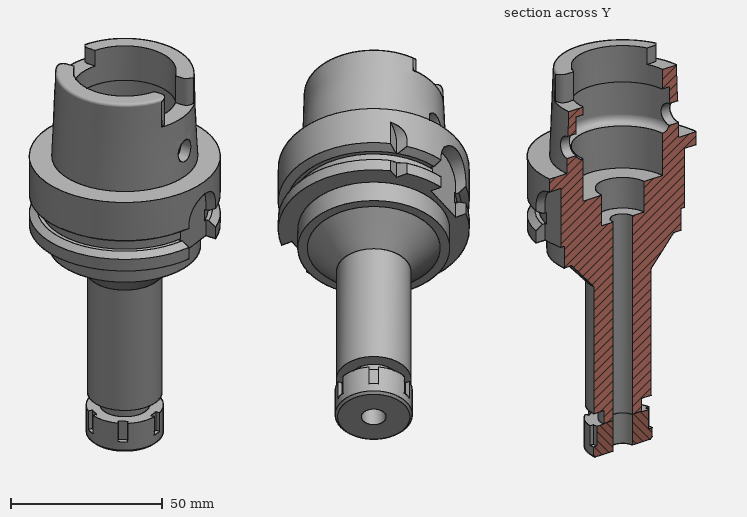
import cadquery as cq
import math

nut_top_z = 11.0
shank_bottom_z = 15.6
cone_bottom_z = 61.1
collar_bottom_z = 71.2
flange_bottom_z = 79.0
groove_center_z = 87.0
flange_top_z = 105.0
tip_z = 137.0

nut_radius = 12.7
neck_radius = 8.2
shank_radius = 12.3
cone_top_radius = 21.9
collar_radius = 25.1
flange_radius = 31.5
groove_shoulder_radius = 28.9
groove_radius = 27.5
taper_base_radius = 24.1
taper_tip_radius = 22.9
tip_fillet = 1.1

groove_bottom_width = 3.8
groove_mouth_width = 7.1

bore_radius = 17.0
bore_floor_z = 93.2
chamber_radius = 20.0
chamber_top_z = 124.0
chamber_bottom_z = 108.2
counterbore_radius = 9.0
counterbore_depth = 11.0
channel_radius = 4.1

cross_hole_radius = 3.8
cross_hole_z = 114.1

drive_slot_width = 12.7
drive_slot_corner = 2.4
drive_slot_depths = {-1: 5.9, 1: 10.1}

keyway_radius = 8.1
keyway_center_z = 92.0
keyway_floor_x = 26.6

notch_wall_y = 20.0
notch_floor_x = -20.4
notch_corner_radius = 6.7
notch_corner_z = 93.5

nut_chamfer = 0.8
nut_slot_count = 6
nut_slot_width = 3.2
nut_slot_depth = 1.5
nut_slot_length = 7.0


def cylinder(radius, bottom_z, top_z):
    """Cylinder on the Z axis between two heights."""
    return cq.Workplane("XY").workplane(offset=bottom_z).circle(radius).extrude(top_z - bottom_z)


def outer_body():
    """Turned outline of the holder: neck, shank, cone, collar, grooved flange and taper."""
    bottom_half = groove_bottom_width / 2
    mouth_half = groove_mouth_width / 2
    outline = [
        (0, nut_top_z),
        (neck_radius, nut_top_z),
        (neck_radius, shank_bottom_z),
        (shank_radius, shank_bottom_z),
        (shank_radius, cone_bottom_z),
        (cone_top_radius, collar_bottom_z),
        (collar_radius, collar_bottom_z),
        (collar_radius, flange_bottom_z),
        (flange_radius, flange_bottom_z),
        (flange_radius, groove_center_z - mouth_half),
        (groove_shoulder_radius, groove_center_z - bottom_half),
        (groove_radius, groove_center_z - bottom_half),
        (groove_radius, groove_center_z + bottom_half),
        (groove_shoulder_radius, groove_center_z + bottom_half),
        (flange_radius, groove_center_z + mouth_half),
        (flange_radius, flange_top_z),
        (taper_base_radius, flange_top_z),
        (taper_tip_radius, tip_z),
        (0, tip_z),
    ]
    body = cq.Workplane("XZ").polyline(outline).close().revolve(360, (0, 0), (0, 1))
    return body.faces(">Z").edges().fillet(tip_fillet)


def clamping_chamber():
    """Ring-shaped undercut in the bore, its lower corner rounded over the full undercut depth."""
    undercut_depth = chamber_radius - bore_radius
    chamber = cylinder(chamber_radius, chamber_bottom_z, chamber_top_z)
    return chamber.faces("<Z").edges().fillet(undercut_depth)


def bore():
    """Main bore with its clamping chamber, then the counterbore and the channel."""
    counterbore_floor_z = bore_floor_z - counterbore_depth
    return (
        cylinder(bore_radius, bore_floor_z, tip_z)
        .union(clamping_chamber())
        .union(cylinder(counterbore_radius, counterbore_floor_z, bore_floor_z))
        .union(cylinder(channel_radius, nut_top_z, counterbore_floor_z))
    )


def cross_hole():
    """Hole along X through both walls of the taper."""
    return (
        cq.Workplane("YZ")
        .center(0, cross_hole_z)
        .circle(cross_hole_radius)
        .extrude(flange_radius, both=True)
    )


def drive_slot(side, depth):
    """Slot from the bore outwards in X, its walls rounded over into the taper surface."""
    half_width = drive_slot_width / 2
    center_y = half_width + drive_slot_corner
    center_x = math.sqrt((taper_tip_radius - drive_slot_corner) ** 2 - center_y**2)
    end_angle = math.atan2(center_y, center_x)
    mid_angle = (end_angle - math.pi / 2) / 2

    def on_rounding(angle):
        return (
            side * (center_x + drive_slot_corner * math.cos(angle)),
            center_y + drive_slot_corner * math.sin(angle),
        )

    rim = (side * flange_radius * math.cos(end_angle), flange_radius * math.sin(end_angle))
    half_slot = (
        cq.Workplane("XY")
        .workplane(offset=tip_z - depth)
        .lineTo(0, half_width)
        .lineTo(side * center_x, half_width)
        .threePointArc(on_rounding(mid_angle), on_rounding(end_angle))
        .lineTo(*rim)
        .lineTo(side * flange_radius, 0)
        .close()
        .extrude(depth)
    )
    return half_slot.union(half_slot.mirror("XZ"))


def keyway(side):
    """Round-topped keyway, open at the flange bottom, cut down to a flat floor."""
    straight_length = keyway_center_z - flange_bottom_z
    return (
        cq.Workplane("YZ")
        .workplane(offset=side * keyway_floor_x)
        .moveTo(-keyway_radius, flange_bottom_z)
        .lineTo(-keyway_radius, keyway_center_z)
        .threePointArc((0, keyway_center_z + keyway_radius), (keyway_radius, keyway_center_z))
        .line(0, -straight_length)
        .close()
        .extrude(side * flange_radius)
    )


def orientation_notch():
    """Corner notch, open at the flange bottom, with a rounded upper corner."""
    arc_center_y = notch_wall_y + notch_corner_radius
    arc_top_z = notch_corner_z + notch_corner_radius
    diagonal = notch_corner_radius * math.sqrt(0.5)
    return (
        cq.Workplane("YZ")
        .workplane(offset=notch_floor_x)
        .moveTo(notch_wall_y, flange_bottom_z)
        .lineTo(notch_wall_y, notch_corner_z)
        .threePointArc((arc_center_y - diagonal, notch_corner_z + diagonal), (arc_center_y, arc_top_z))
        .lineTo(flange_radius, arc_top_z)
        .lineTo(flange_radius, flange_bottom_z)
        .close()
        .extrude(-flange_radius)
    )


def make_holder():
    holder = outer_body().cut(bore()).cut(cross_hole()).cut(orientation_notch())
    for side, depth in drive_slot_depths.items():
        holder = holder.cut(drive_slot(side, depth)).cut(keyway(side))
    return holder


def make_nut():
    """Clamping nut seated against the neck, with spanner slots open at its top face."""
    nut = cylinder(nut_radius, 0, nut_top_z).faces("<Z").edges().chamfer(nut_chamfer)
    nut = nut.cut(cylinder(channel_radius, 0, nut_top_z))
    slot = (
        cq.Workplane("XY")
        .workplane(offset=nut_top_z - nut_slot_length)
        .center(nut_radius, 0)
        .rect(2 * nut_slot_depth, nut_slot_width)
        .extrude(nut_slot_length)
    )
    for index in range(nut_slot_count):
        nut = nut.cut(slot.rotate((0, 0, 0), (0, 0, 1), index * 360 / nut_slot_count))
    return nut


holder = make_holder()
nut = make_nut()

result = cq.Compound.makeCompound([holder.val(), nut.val()])